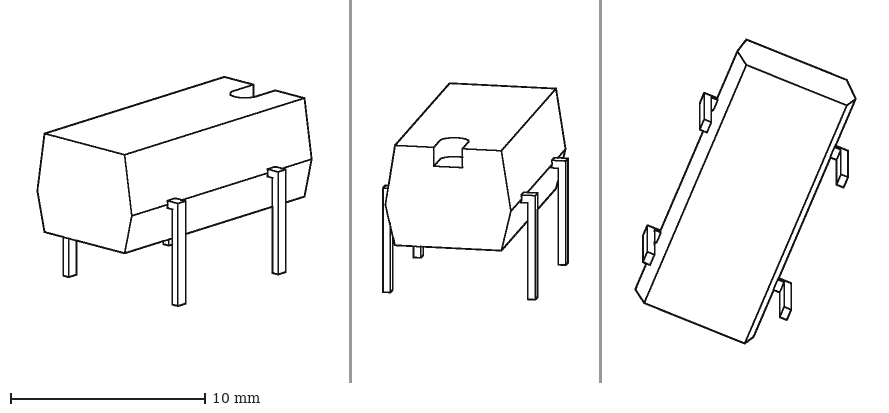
import cadquery as cq

body_length = 13.7
body_height = 5.3
end_width = 5.6
waist_width = 6.6
waist_height = 2.12

notch_width = 1.5
notch_length = 2.25
notch_depth = 1.0

pin_pitch = 7.62
pin_thickness = 0.4
pin_width = 0.6
pin_drop = 3.2
pin_top = waist_height + pin_thickness / 2
pin_embed = 0.3


def make_body():
    profile = [
        (-end_width / 2, 0),
        (end_width / 2, 0),
        (waist_width / 2, waist_height),
        (end_width / 2, body_height),
        (-end_width / 2, body_height),
        (-waist_width / 2, waist_height),
    ]
    return cq.Workplane("XZ").polyline(profile).close().extrude(body_length / 2, both=True)


def make_notch():
    radius = notch_width / 2
    end_y = body_length / 2
    round_y = end_y - notch_length + radius
    return (
        cq.Workplane("XY", origin=(0, 0, body_height - notch_depth))
        .moveTo(-radius, end_y)
        .lineTo(-radius, round_y)
        .threePointArc((0, round_y - radius), (radius, round_y))
        .lineTo(radius, end_y)
        .close()
        .extrude(notch_depth)
    )


def make_pin(side, y):
    """L-shaped pin on the +X (side = 1) or -X (side = -1) flank, centred at y."""
    outer_x = side * (pin_pitch + pin_thickness) / 2
    leg_inner_x = side * (pin_pitch - pin_thickness) / 2
    arm_end_x = side * (waist_width / 2 - pin_embed)
    profile = [
        (outer_x, -pin_drop),
        (outer_x, pin_top),
        (arm_end_x, pin_top),
        (arm_end_x, pin_top - pin_thickness),
        (leg_inner_x, pin_top - pin_thickness),
        (leg_inner_x, -pin_drop),
    ]
    return (
        cq.Workplane("XZ", origin=(0, y, 0))
        .polyline(profile)
        .close()
        .extrude(pin_width / 2, both=True)
    )


result = make_body().cut(make_notch())
for side in (-1, 1):
    for y in (-pin_pitch / 2, pin_pitch / 2):
        result = result.union(make_pin(side, y))